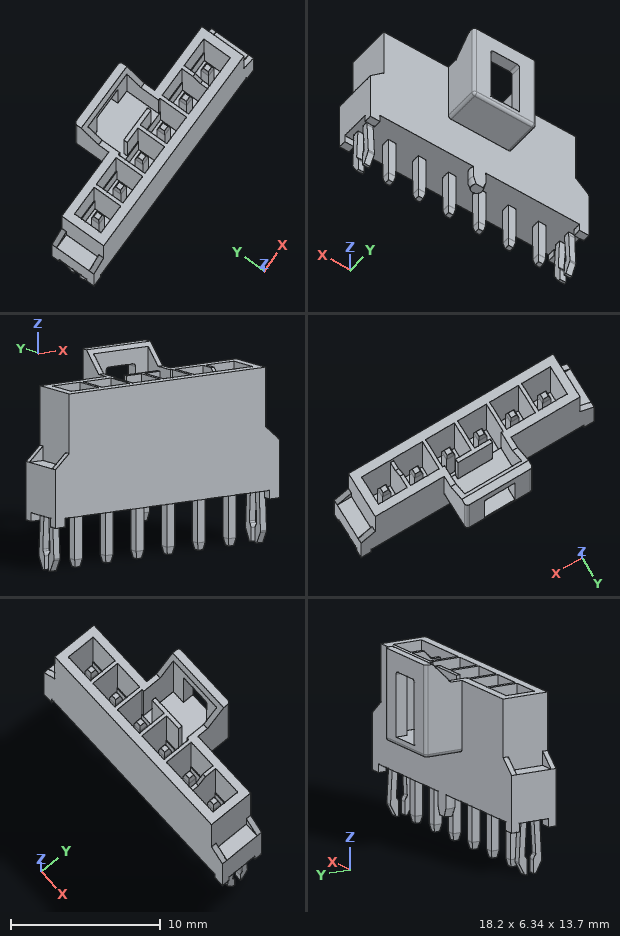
import cadquery as cq


length = 18.22
top_length = 16.0
depth = 3.48
height = 8.45
center_y = depth / 2
ear_length = (length - top_length) / 2
ear_floor_z = 3.4
ear_wall_top_z = 4.4
ear_wall = 0.4
foot_height = 0.6
foot_length = 0.8
foot_depth = 0.6

cell_count = 6
pin_row_length = 12.5
pitch = pin_row_length / (cell_count - 1)
cell_length = 2.25
cell_front_y = 0.67
cell_back_y = 2.8
cell_mouth_back_y = 2.86
cell_floor_z = 1.45

notch_front_y = 1.33
notch_drop = 0.62

hood_length = 5.23
hood_back_y = 6.34
hood_top_z = 9.9
hood_bottom_z = 3.45
hood_lip = 0.58
hood_round = 0.24
pocket_length = 4.43
pocket_back_y = 5.48
pocket_floor_z = 4.0
window_length = 2.37
window_top_z = 8.56
window_round = 0.2
rib_length = 2.71
rib_thickness = 0.3

pin_width = 0.64
pin_tip_width = 0.4
pin_tip_length = 0.55
pin_top_z = 6.56
pin_bottom_z = -3.8

peg_radius = 0.6
peg_tip_radius = 0.44
peg_center_y = 3.15
peg_taper_z = -0.98
peg_bottom_z = -1.59

clip_center_x = 8.4
clip_thickness = 0.51
clip_root_z = 0.18
clip_root_half = 0.75
clip_flare_z = -0.25
clip_barb_half = 0.9
clip_barb_z = -2.95
barb_round = 0.22
clip_tip_half = 0.44
slot_root_half = 0.27
slot_wide_half = 0.42
slot_wide_z = -2.5
slot_end_round = 0.16
slot_neck_half = 0.24
slot_neck_z = -2.68
neck_round = 0.44


def block(x0, x1, y0, y1, z0, z1):
    """Box between two opposite corners."""
    return cq.Workplane("XY").box(x1 - x0, y1 - y0, z1 - z0, centered=False).translate((x0, y0, z0))


def centered_block(width, y0, y1, z0, z1):
    """Box centered on X = 0."""
    return block(-width / 2, width / 2, y0, y1, z0, z1)


def cell_x(index):
    return (index - (cell_count - 1) / 2) * pitch


def make_housing():
    half = length / 2
    half_top = top_length / 2
    half_gap = half - foot_length
    body = (
        cq.Workplane("XZ")
        .moveTo(-half_top, height)
        .lineTo(half_top, height)
        .lineTo(half_top, ear_wall_top_z)
        .lineTo(half, ear_floor_z)
        .lineTo(half, -foot_height)
        .lineTo(half_gap, -foot_height)
        .lineTo(half_gap, 0)
        .lineTo(-half_gap, 0)
        .lineTo(-half_gap, -foot_height)
        .lineTo(-half, -foot_height)
        .lineTo(-half, ear_floor_z)
        .lineTo(-half_top, ear_wall_top_z)
        .close()
        .extrude(-depth)
    )
    body = body.cut(centered_block(length, foot_depth, depth - foot_depth, -foot_height, 0))
    for x0 in (-half, half_top):
        body = body.cut(
            block(x0, x0 + ear_length, ear_wall, depth - ear_wall, ear_floor_z, ear_wall_top_z)
        )
    return body


def make_hood():
    slope_run = hood_top_z - height
    slope_back_y = hood_back_y - hood_lip
    hood = centered_block(hood_length, depth, hood_back_y, hood_bottom_z, hood_top_z)
    hood = hood.edges("(>Y and |Z) or (<Z and (|X or |Y) and (not <Y))").fillet(hood_round)
    above_slope = (
        cq.Workplane("YZ")
        .moveTo(depth, height)
        .lineTo(slope_back_y - slope_run, height)
        .lineTo(slope_back_y, hood_top_z)
        .lineTo(depth, hood_top_z)
        .close()
        .extrude(hood_length / 2, both=True)
    )
    return hood.cut(above_slope)


def cut_latch_pocket(body):
    pocket = centered_block(
        pocket_length, cell_mouth_back_y, pocket_back_y, pocket_floor_z, hood_top_z
    )
    window = centered_block(
        window_length, pocket_back_y, hood_back_y, pocket_floor_z, window_top_z
    )
    window = window.edges("|Y and >Z").fillet(window_round)
    rib = centered_block(
        rib_length, cell_mouth_back_y, cell_mouth_back_y + rib_thickness, pocket_floor_z, height
    )
    return body.cut(pocket).cut(window).union(rib)


def cut_cells(body):
    for index in range(cell_count):
        x0 = cell_x(index) - cell_length / 2
        x1 = x0 + cell_length
        body = body.cut(block(x0, x1, cell_front_y, cell_back_y, cell_floor_z, height))
        body = body.cut(block(x0, x1, cell_back_y, cell_mouth_back_y, pocket_floor_z, height))
    return body


def cut_partition_notch(body):
    partition = pitch - cell_length
    partition_x = cell_x(cell_count - 1) - pitch / 2
    notch = (
        cq.Workplane("YZ", origin=(partition_x, 0, 0))
        .moveTo(cell_front_y, height)
        .lineTo(cell_front_y, height - notch_drop)
        .lineTo(notch_front_y, height - notch_drop)
        .lineTo(notch_front_y + notch_drop, height)
        .close()
        .extrude(partition / 2, both=True)
    )
    return body.cut(notch)


def make_pin(x):
    half_length = (pin_top_z - pin_bottom_z) / 2
    shank_half = half_length - pin_tip_length
    shank = cq.Workplane("XY").rect(pin_width, pin_width).extrude(shank_half)
    tip = (
        cq.Workplane("XY", origin=(0, 0, shank_half))
        .rect(pin_width, pin_width)
        .workplane(offset=pin_tip_length)
        .rect(pin_tip_width, pin_tip_width)
        .loft(ruled=True)
    )
    half_pin = shank.union(tip)
    pin = half_pin.union(half_pin.mirror("XY"))
    return pin.translate((x, center_y, (pin_top_z + pin_bottom_z) / 2))


def make_peg():
    peg = (
        cq.Workplane("XZ")
        .moveTo(0, 0)
        .lineTo(peg_radius, 0)
        .lineTo(peg_radius, peg_taper_z)
        .lineTo(peg_tip_radius, peg_bottom_z)
        .lineTo(0, peg_bottom_z)
        .close()
        .revolve(360, (0, 0, 0), (0, 1, 0))
        .translate((0, peg_center_y, 0))
    )
    return peg.intersect(centered_block(length, 0, depth, peg_bottom_z, 0))


def make_clip_arm(x):
    """Arm on the +Y side of the slot, with rounded corners at the barb and the slot neck."""
    barb = (clip_barb_half, clip_barb_z)
    neck = (slot_neck_half, slot_neck_z)
    wide_end = (slot_wide_half, slot_wide_z)
    arm = (
        cq.Workplane("YZ")
        .moveTo(clip_root_half, clip_root_z)
        .lineTo(clip_root_half, clip_flare_z)
        .lineTo(*barb)
        .lineTo(clip_tip_half, pin_bottom_z)
        .lineTo(slot_neck_half, pin_bottom_z)
        .lineTo(*neck)
        .lineTo(*wide_end)
        .lineTo(slot_root_half, 0)
        .lineTo(slot_root_half, clip_root_z)
        .close()
        .extrude(clip_thickness / 2, both=True)
    )
    for corner, radius in ((barb, barb_round), (neck, neck_round), (wide_end, slot_end_round)):
        arm = arm.edges(cq.NearestToPointSelector((0, *corner))).fillet(radius)
    return arm.translate((x, center_y, 0))


result = make_housing().union(make_hood())
result = cut_cells(result)
result = cut_latch_pocket(result)
result = cut_partition_notch(result)
result = result.union(make_peg())
for cell in range(cell_count):
    result = result.union(make_pin(cell_x(cell)))
for side in (-1, 1):
    arm = make_clip_arm(side * clip_center_x)
    result = result.union(arm)
    result = result.union(arm.mirror("XZ", (0, center_y, 0)))